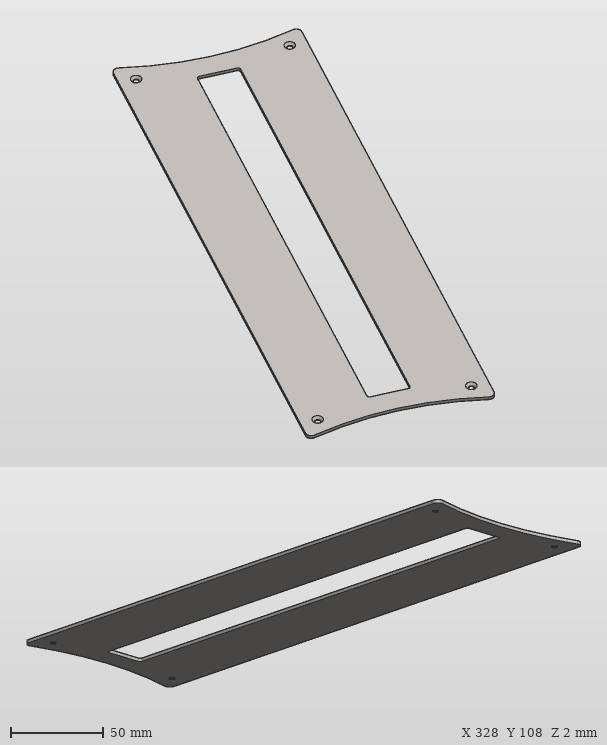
import cadquery as cq
import math

length = 328.0
width = 108.0
thickness = 2.0
end_radius = 182.5
corner_radius = 3.3

window_length = 286.0
window_width = 24.5
window_corner_radius = 1.5

hole_spacing_x = 303.8
hole_spacing_y = 88.0
hole_diameter = 3.3
sink_diameter = 6.2
sink_angle = 90.0


def plate():
    """Flat plate with hollow arc ends that blend tangentially into rounded corners."""
    half_length = length / 2
    half_width = width / 2
    corner_x = half_length - corner_radius
    corner_y = half_width - corner_radius

    center_distance = end_radius + corner_radius
    tilt = math.asin(corner_y / center_distance)
    tangent_x = corner_x + corner_radius * math.cos(tilt)
    tangent_y = corner_y - corner_radius * math.sin(tilt)
    end_x = half_length - center_distance * (1 - math.cos(tilt))

    return (
        cq.Workplane("XY")
        .moveTo(-corner_x, half_width)
        .lineTo(corner_x, half_width)
        .threePointArc((half_length, corner_y), (tangent_x, tangent_y))
        .threePointArc((end_x, 0), (tangent_x, -tangent_y))
        .threePointArc((half_length, -corner_y), (corner_x, -half_width))
        .lineTo(-corner_x, -half_width)
        .threePointArc((-half_length, -corner_y), (-tangent_x, -tangent_y))
        .threePointArc((-end_x, 0), (-tangent_x, tangent_y))
        .threePointArc((-half_length, corner_y), (-corner_x, half_width))
        .close()
        .extrude(thickness)
    )


def window():
    """Cutter for the long central opening."""
    return (
        cq.Workplane("XY")
        .rect(window_length, window_width)
        .extrude(thickness)
        .edges("|Z")
        .fillet(window_corner_radius)
    )


result = (
    plate()
    .cut(window())
    .faces(">Z")
    .workplane(origin=(0, 0, thickness))
    .rarray(hole_spacing_x, hole_spacing_y, 2, 2)
    .cskHole(hole_diameter, sink_diameter, sink_angle)
)